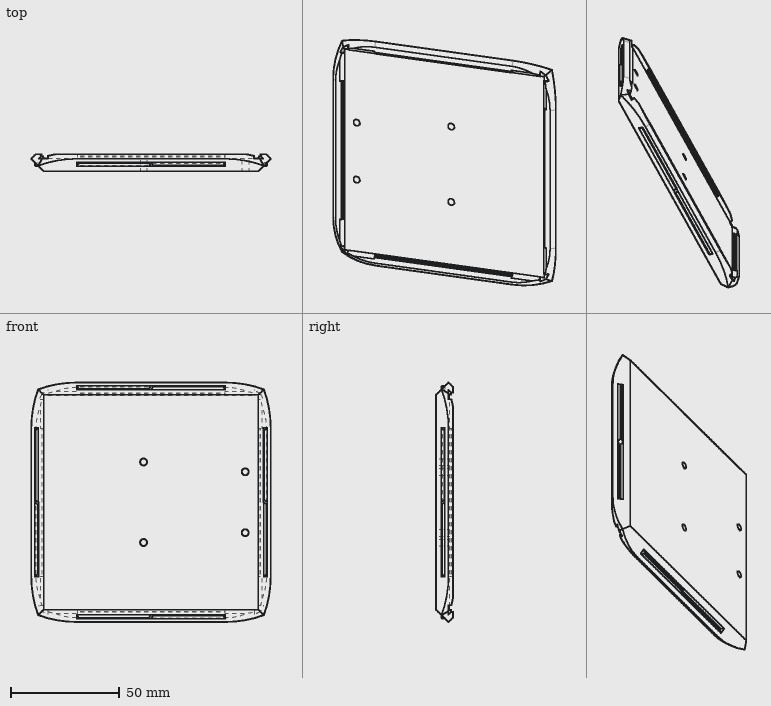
import cadquery as cq
import math

outer_width = 110.7
slope_angle = 45.0
total_thickness = 7.9
plate_thickness = 5.8
floor_rise = 0.28
flange_reach = 6.2
flange_length = 95.2
step_reach = 5.6
step_size = 0.83

straight_half_length = 34.1
corner_radius = 38.1
corner_arc_run = 22.1
cutter_margin = 2.2
cutter_depth = 6.6

joint_length = 34.3
joint_edge_distance = 3.5
ridge_width = 2.4
ridge_height = 0.9
groove_width = 2.5
groove_depth = 1.0

hole_diameter = 3.1
hole_centers = [(-3.4, 18.6), (-3.4, -18.6), (43.5, 14.1), (43.5, -14.1)]

half_width = outer_width / 2
front_width = outer_width - 2 * plate_thickness
flange_height = total_thickness - plate_thickness


def on_all_sides(side_shape):
    """Repeat a shape made for the +Z side on all four sides."""
    shapes = cq.Workplane("XY")
    for turn in range(4):
        shapes = shapes.add(side_shape.rotate((0, 0, 0), (0, 1, 0), 90 * turn))
    return shapes.combine()


def bevel_workplane():
    """Plane of the +Z bevel: local x along the edge, local y outwards, origin on the edge."""
    plane = cq.Plane(origin=(0, plate_thickness, half_width), xDir=(1, 0, 0), normal=(0, -1, 1))
    return cq.Workplane(plane)


def make_plate():
    """Square plate that widens at 45 degrees from the front face to the back."""
    return (
        cq.Workplane("XZ", origin=(0, plate_thickness, 0))
        .rect(outer_width, outer_width)
        .extrude(plate_thickness, taper=slope_angle)
    )


def make_floor():
    """Square floor, slightly raised from the plate, between the feet of the flanges."""
    return (
        cq.Workplane("XZ", origin=(0, plate_thickness, 0))
        .rect(front_width, front_width)
        .extrude(-floor_rise)
    )


def make_rim(inner_flank, length):
    """Rim along the +Z edge: 45 degree outer flank, flat top, inner flank from top to foot."""
    outer_flank = [
        (plate_thickness, half_width),
        (total_thickness, half_width - flange_height),
    ]
    return (
        cq.Workplane("YZ")
        .polyline(outer_flank + inner_flank)
        .close()
        .extrude(length / 2, both=True)
    )


def make_flange():
    """Rim with a 45 degree inner flank, so that it is an upright wall on the bevel."""
    foot_z = half_width - flange_reach
    inner_flank = [
        (total_thickness, foot_z + flange_height),
        (plate_thickness, foot_z),
    ]
    return make_rim(inner_flank, flange_length)


def make_stepped_middle():
    """Wider stretch of rim with a stepped inner flank, along the straight middle only."""
    foot_z = half_width - step_reach
    inner_flank = [
        (total_thickness, foot_z + step_size),
        (total_thickness - step_size, foot_z + step_size),
        (total_thickness - step_size, foot_z),
        (plate_thickness, foot_z),
    ]
    return make_rim(inner_flank, 2 * straight_half_length)


def make_corner_cutter():
    """Waste outside the rounded ends of the +Z side, cut square to the bevel."""
    def arc_point(run):
        drop = corner_radius - math.sqrt(corner_radius**2 - run**2)
        return (straight_half_length + run, -drop)

    end_x, end_y = arc_point(corner_arc_run)
    right_end = (
        bevel_workplane()
        .moveTo(straight_half_length, 0)
        .threePointArc(arc_point(corner_arc_run / 2), (end_x, end_y))
        .lineTo(end_x, cutter_margin)
        .lineTo(straight_half_length, cutter_margin)
        .close()
        .extrude(-cutter_depth)
    )
    return right_end.union(right_end.mirror("YZ"))


def make_joint_bar(direction, width, height):
    """Tapered bar on half of the +Z bevel; a negative height sinks it into the bevel."""
    return (
        bevel_workplane()
        .center(direction * joint_length / 2, -joint_edge_distance)
        .rect(joint_length, width)
        .extrude(height, taper=slope_angle)
    )


def make_holes():
    """Round holes through the whole panel."""
    return (
        cq.Workplane("XZ")
        .pushPoints(hole_centers)
        .circle(hole_diameter / 2)
        .extrude(-total_thickness)
    )


result = (
    make_plate()
    .union(on_all_sides(make_flange()))
    .union(on_all_sides(make_stepped_middle()))
    .union(make_floor())
    .cut(on_all_sides(make_corner_cutter()))
    .cut(on_all_sides(make_joint_bar(-1, groove_width, -groove_depth)))
    .union(on_all_sides(make_joint_bar(1, ridge_width, ridge_height)))
    .cut(make_holes())
)